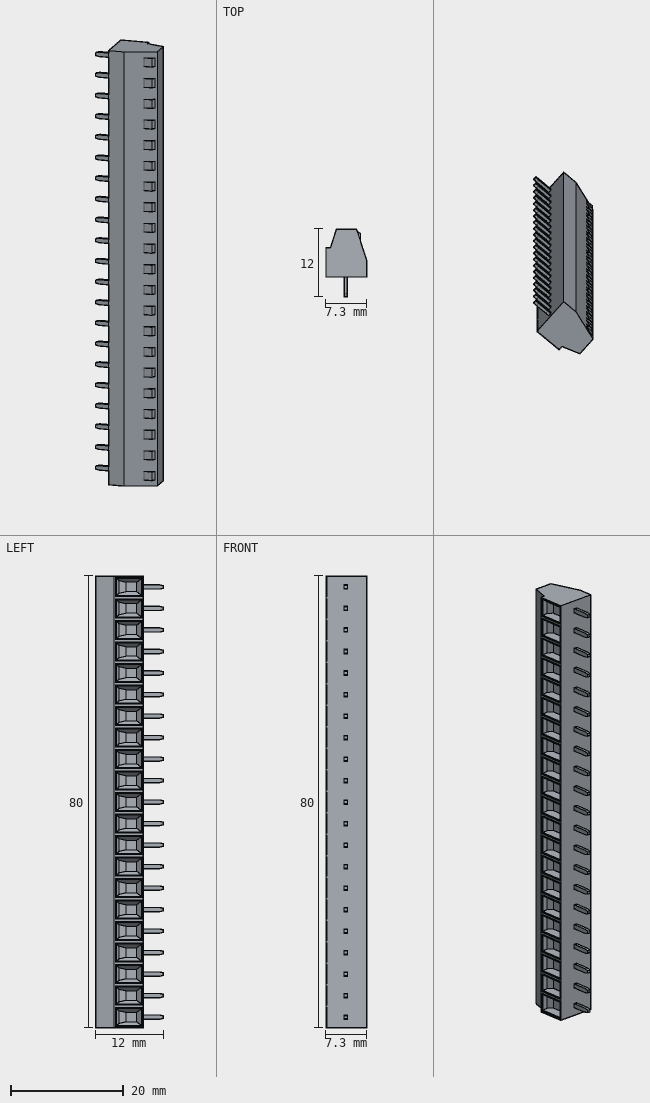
import cadquery as cq

pole_count = 21
body_length = 80.0
pitch = body_length / pole_count
body_width = 7.3
overall_depth = 12.0
body_depth = 8.5

step_y = 5.2
crown_foot_x = 0.8
crown_left_x = 1.85
crown_right_x = 5.45
shoulder_y = 2.9

wall_between_funnels = 0.5
funnel_bottom_y = 0.2
funnel_top_y = 5.0
funnel_depth = 1.1
lip_depth = 0.2
lip_inset = 0.2
floor_bottom_y = 1.2
floor_top_y = 3.1
shelf_depth = 0.7
shelf_top_y = 4.3
floor_height = 1.7

pin_thickness = 0.6
pin_center_x = 3.5
pin_height = 0.8
pin_tip_length = 0.65
pin_tip_height = 0.5
pin_embed = 0.8

rib_height = 1.6
rib_outer_x = 6.2
rib_top_y = 8.1
rib_corner_y = 7.7
rib_lower_y = 6.25


def slope_x(y):
    """X of the sloping +X side of the crown at a given Y."""
    fraction = (y - shoulder_y) / (body_depth - shoulder_y)
    return body_width + fraction * (crown_right_x - body_width)


def make_body():
    outline = [
        (0, 0),
        (body_width, 0),
        (body_width, shoulder_y),
        (crown_right_x, body_depth),
        (crown_left_x, body_depth),
        (crown_foot_x, step_y),
        (0, step_y),
    ]
    return cq.Workplane("XY").polyline(outline).close().extrude(body_length)


def make_funnel():
    """Wire funnel centred on Z = 0: a shallow straight lip, then tapered walls down to a flat floor."""
    section = [
        (0, funnel_bottom_y),
        (lip_depth, funnel_bottom_y),
        (lip_depth, funnel_bottom_y + lip_inset),
        (funnel_depth, floor_bottom_y),
        (funnel_depth, floor_top_y),
        (shelf_depth, shelf_top_y),
        (lip_depth, funnel_top_y - lip_inset),
        (lip_depth, funnel_top_y),
        (0, funnel_top_y),
    ]
    mouth_height = pitch - wall_between_funnels
    throat_height = mouth_height - 2 * lip_inset
    taper = [
        (0, -mouth_height / 2),
        (lip_depth, -mouth_height / 2),
        (lip_depth, -throat_height / 2),
        (funnel_depth, -floor_height / 2),
        (funnel_depth, floor_height / 2),
        (lip_depth, throat_height / 2),
        (lip_depth, mouth_height / 2),
        (0, mouth_height / 2),
    ]
    prism = cq.Workplane("XY").polyline(section).close().extrude(mouth_height / 2, both=True)
    wedge = cq.Workplane("XZ").polyline(taper).close().extrude(-step_y)
    return prism.intersect(wedge)


def make_pin():
    """Flat solder pin centred on Z = 0, narrowed in Z at its tip and rooted in the body."""
    tip_y = body_depth - overall_depth
    tip_start_y = tip_y + pin_tip_length
    outline = [
        (pin_embed, -pin_height / 2),
        (tip_start_y, -pin_height / 2),
        (tip_y, -pin_tip_height / 2),
        (tip_y, pin_tip_height / 2),
        (tip_start_y, pin_height / 2),
        (pin_embed, pin_height / 2),
    ]
    pin = cq.Workplane("YZ").polyline(outline).close().extrude(pin_thickness / 2, both=True)
    return pin.translate((pin_center_x, 0, 0))


def make_rib():
    """Wedge rib centred on Z = 0, rooted inside the crown."""
    outline = [
        (crown_right_x, rib_lower_y),
        (slope_x(rib_lower_y), rib_lower_y),
        (rib_outer_x, rib_corner_y),
        (slope_x(rib_top_y), rib_top_y),
        (crown_right_x, rib_top_y),
    ]
    return cq.Workplane("XY").polyline(outline).close().extrude(rib_height / 2, both=True)


def at_each_pole(shape):
    """Copies of a shape, one at the middle of every pole."""
    solid = shape.val()
    copies = cq.Workplane("XY")
    for pole in range(pole_count):
        copies = copies.add(solid.translate(cq.Vector(0, 0, (pole + 0.5) * pitch)))
    return copies.combine()


result = (
    make_body()
    .cut(at_each_pole(make_funnel()))
    .union(at_each_pole(make_pin()))
    .union(at_each_pole(make_rib()))
)